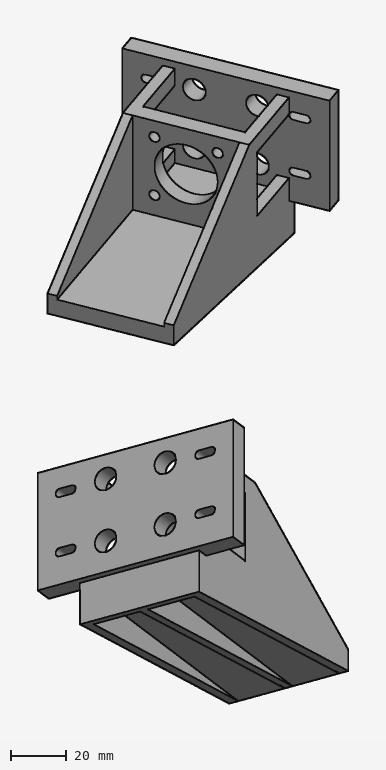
import cadquery as cq

LENGTH = 106.8
HEIGHT = 64.0

PLATE_WIDTH = 82.0
PLATE_HEIGHT = 47.4
PLATE_THICKNESS = 7.8
PLATE_HOLE_DIAMETER = 9.0
SLOT_LENGTH = 8.3
SLOT_HEIGHT = 3.4
SLOT_OFFSET_X = 29.2
SLOT_SPACING_Z = 23.9
plate_front = LENGTH - PLATE_THICKNESS

BODY_WIDTH = 50.0
BODY_TOP = 61.1
BODY_BACK = 103.9
TIP_BOTTOM = 13.5
TIP_TOP = 22.1
FLOOR_TOP = 20.5
FRONT_WALL_THICKNESS = 3.8
REAR_WALL_THICKNESS = 4.8

MOTOR_WALL_FRONT = 64.8
MOTOR_WALL_THICKNESS = 6.8
MOTOR_BORE_DIAMETER = 25.0
SCREW_HOLE_DIAMETER = 4.2
SCREW_SPACING = 25.0
AXIS_Z = 41.6
motor_wall_back = MOTOR_WALL_FRONT + MOTOR_WALL_THICKNESS

WINDOW_BOTTOM = 26.5
WINDOW_TOP = 53.8

CENTER_RIB_THICKNESS = 3.3
POCKET_BACK_WALL = 3.2
pocket_back = BODY_BACK - POCKET_BACK_WALL


def block(x_size, y_start, y_end, z_start, z_end, x_center=0.0):
    """Box given by its X width and its Y and Z limits."""
    y_size = y_end - y_start
    z_size = z_end - z_start
    center = (x_center, (y_start + y_end) / 2, (z_start + z_end) / 2)
    return cq.Workplane("XY").box(x_size, y_size, z_size).translate(center)


def along_y(y_start):
    """Workplane on the bore axis; negative extrusion runs toward +Y."""
    return cq.Workplane("XZ", origin=(0, y_start, AXIS_Z))


def body_profile():
    return (
        cq.Workplane("YZ")
        .moveTo(0, TIP_BOTTOM)
        .lineTo(0, TIP_TOP)
        .lineTo(MOTOR_WALL_FRONT, BODY_TOP)
        .lineTo(BODY_BACK, BODY_TOP)
        .lineTo(BODY_BACK, 0)
        .close()
        .extrude(BODY_WIDTH / 2, both=True)
    )


def front_channel():
    width = BODY_WIDTH - 2 * FRONT_WALL_THICKNESS
    return block(width, 0, MOTOR_WALL_FRONT, FLOOR_TOP, HEIGHT)


def rear_cavity():
    width = BODY_WIDTH - 2 * REAR_WALL_THICKNESS
    return block(width, motor_wall_back, plate_front, FLOOR_TOP, HEIGHT)


def side_windows():
    return block(BODY_WIDTH, motor_wall_back, plate_front, WINDOW_BOTTOM, WINDOW_TOP)


def underside_pocket(side):
    """Pocket on the -X (side = -1) or +X (side = 1) half, with a level roof."""
    inner = CENTER_RIB_THICKNESS / 2
    outer = BODY_WIDTH / 2 - FRONT_WALL_THICKNESS
    x_center = side * (inner + outer) / 2
    return block(outer - inner, 0, pocket_back, 0, TIP_BOTTOM, x_center)


def motor_holes():
    bore = along_y(MOTOR_WALL_FRONT).circle(MOTOR_BORE_DIAMETER / 2).extrude(-MOTOR_WALL_THICKNESS)
    screws = (
        along_y(MOTOR_WALL_FRONT)
        .rect(SCREW_SPACING, SCREW_SPACING, forConstruction=True)
        .vertices()
        .circle(SCREW_HOLE_DIAMETER / 2)
        .extrude(-MOTOR_WALL_THICKNESS)
    )
    return bore.union(screws)


def plate_holes():
    """Access holes in line with the motor screws."""
    return (
        along_y(plate_front)
        .rect(SCREW_SPACING, SCREW_SPACING, forConstruction=True)
        .vertices()
        .circle(PLATE_HOLE_DIAMETER / 2)
        .extrude(-PLATE_THICKNESS)
    )


def plate_slots():
    return (
        along_y(plate_front)
        .rect(2 * SLOT_OFFSET_X, SLOT_SPACING_Z, forConstruction=True)
        .vertices()
        .slot2D(SLOT_LENGTH, SLOT_HEIGHT)
        .extrude(-PLATE_THICKNESS)
    )


plate = block(PLATE_WIDTH, plate_front, LENGTH, HEIGHT - PLATE_HEIGHT, HEIGHT)
body = body_profile().cut(front_channel()).cut(rear_cavity()).cut(side_windows())
for side in (-1, 1):
    body = body.cut(underside_pocket(side))
body = body.cut(motor_holes())

result = body.union(plate).cut(plate_holes()).cut(plate_slots())